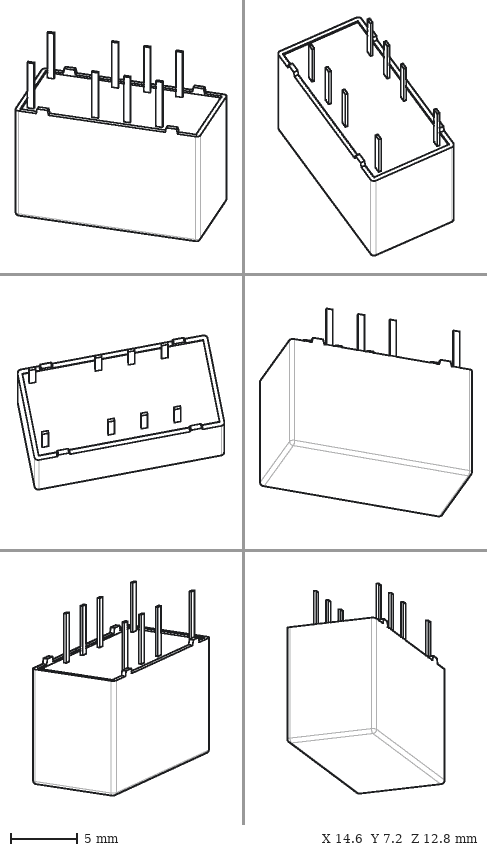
import cadquery as cq

CASE_LENGTH = 14.6
CASE_WIDTH = 7.2
CASE_HEIGHT = 9.05
EDGE_RADIUS = 0.3

RIM_WALL = 0.35
RECESS_DEPTH = 0.15

LUG_HEIGHT = 0.4
LUG_BASE_LENGTH = 1.0
LUG_TOP_LENGTH = 0.8
LUG_OFFSET_X = 5.1

OVERALL_HEIGHT = 12.75
GRID = 2.54
PIN_WIDTH = 0.5
PIN_THICKNESS = 0.2
ROW_SPACING = 2 * GRID
FIRST_PIN_X = -6.325
PIN_GRID_STEPS = (0, 2, 3, 4)

RECESS_FLOOR_Z = CASE_HEIGHT - RECESS_DEPTH


def make_case():
    """Block with rounded upright edges, rounded bottom and a recessed top."""
    case = cq.Workplane("XY").box(CASE_LENGTH, CASE_WIDTH, CASE_HEIGHT, centered=(True, True, False))
    case = case.edges("|Z or <Z").fillet(EDGE_RADIUS)
    recess = (
        cq.Workplane("XY", origin=(0, 0, RECESS_FLOOR_Z))
        .rect(CASE_LENGTH - 2 * RIM_WALL, CASE_WIDTH - 2 * RIM_WALL)
        .extrude(RECESS_DEPTH)
    )
    return case.cut(recess)


def make_lug(center_x, start_y):
    """Trapezoidal lug as thick as the rim, reaching from start_y toward +Y."""
    half_base = LUG_BASE_LENGTH / 2
    half_top = LUG_TOP_LENGTH / 2
    return (
        cq.Workplane("XZ", origin=(center_x, start_y, CASE_HEIGHT))
        .polyline([(-half_base, 0), (half_base, 0), (half_top, LUG_HEIGHT), (-half_top, LUG_HEIGHT)])
        .close()
        .extrude(-RIM_WALL)
    )


def make_pin(center_x, center_y):
    """Flat pin rising from the recess floor to the overall height."""
    return (
        cq.Workplane("XY", origin=(center_x, center_y, RECESS_FLOOR_Z))
        .rect(PIN_WIDTH, PIN_THICKNESS)
        .extrude(OVERALL_HEIGHT - RECESS_FLOOR_Z)
    )


result = make_case()

for lug_x in (-LUG_OFFSET_X, LUG_OFFSET_X):
    for lug_start_y in (-CASE_WIDTH / 2, CASE_WIDTH / 2 - RIM_WALL):
        result = result.union(make_lug(lug_x, lug_start_y))

for row_y in (-ROW_SPACING / 2, ROW_SPACING / 2):
    for step in PIN_GRID_STEPS:
        result = result.union(make_pin(FIRST_PIN_X + step * GRID, row_y))